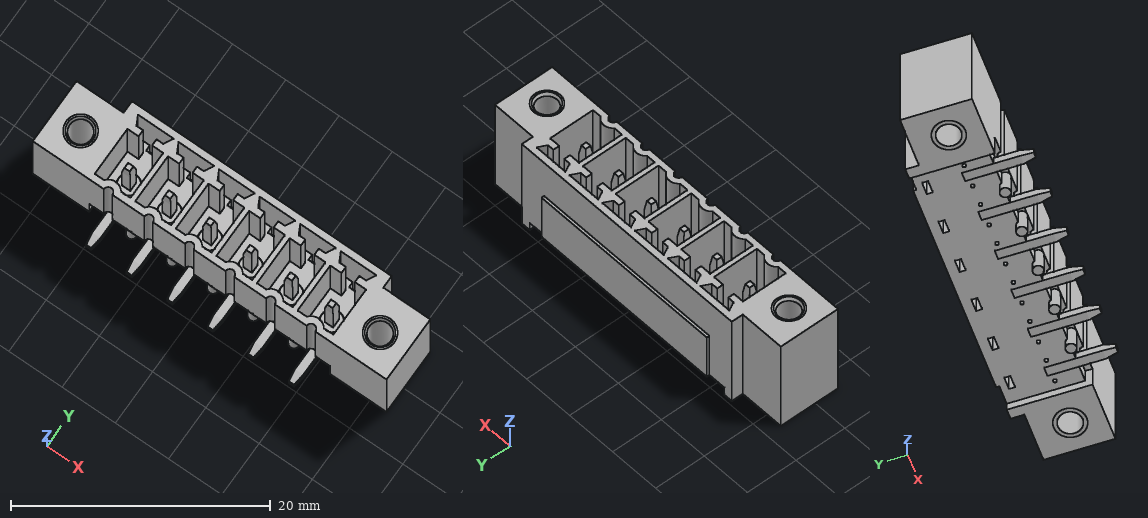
import cadquery as cq


POLE_COUNT = 6
ROW_LENGTH = 19.05
PITCH = ROW_LENGTH / (POLE_COUNT - 1)
POLE_XS = [i * PITCH - ROW_LENGTH / 2 for i in range(POLE_COUNT)]
POST_XS = [(left + right) / 2 for left, right in zip(POLE_XS, POLE_XS[1:])]

LENGTH = 33.25
HEIGHT = 9.2
FRONT_Y = -2.8
WING_REAR_Y = 3.1
BODY_REAR_Y = 4.22
BODY_LENGTH = 24.4
WALL = 0.6

RIB_LENGTH = 19.22
RIB_DEPTH = 0.25
RIB_TOP_Z = 5.4

UNDERCUT_LENGTH = 22.6
UNDERSIDE_Z = 0.83
RECESS_TOP_Z = 2.2
CAVITY_FRONT_Y = FRONT_Y + WALL

FLOOR_Z = RECESS_TOP_Z + WALL
CAVITY_WIDTH = 3.35
CAVITY_REAR_Y = 2.2
NECK_WIDTH = 1.25
NECK_REAR_Y = 2.8
DOVETAIL_WIDTH = 2.53
DOVETAIL_REAR_Y = 3.6
VENT_WIDTH = 1.1

GROOVE_RADIUS = 0.4
GROOVE_RIB_RADIUS = GROOVE_RADIUS + WALL

COLLAR_DIAMETER = 2.03
COLLAR_TOP_DIAMETER = 1.83
COLLAR_HEIGHT = 0.6

POST_DIAMETER = 0.9
FOOT_DIAMETER = 0.3
FOOT_OFFSET = 1.0

PIN_WIDTH = 0.8
PIN_TIP_WIDTH = 0.5
PIN_TAPER = 1.03
PIN_FRONT_Y = -5.42
PIN_TOP_Z = HEIGHT - 1.05

BUSHING_X = 14.05
BUSHING_DIAMETER = 2.7
BUSHING_BORE = 2.03
BUSHING_CHAMFER_WIDTH = 0.15
BUSHING_CHAMFER_DEPTH = 0.3


def block(x_size, y_min, y_max, z_min, z_max):
    """Box centred on X = 0 between the given Y and Z limits."""
    return cq.Workplane("XY").box(
        x_size, y_max - y_min, z_max - z_min, centered=(True, False, False)
    ).translate((0, y_min, z_min))


def cylinder(diameter, x, y, z_min, z_max):
    """Upright cylinder between two heights."""
    return (
        cq.Workplane("XY", origin=(x, y, z_min))
        .circle(diameter / 2)
        .extrude(z_max - z_min)
    )


def make_shell():
    """Outer shape of the housing, with the underside cleared and the lower front wall set back."""
    wings = block(LENGTH, FRONT_Y, WING_REAR_Y, 0, HEIGHT)
    middle = block(BODY_LENGTH, FRONT_Y, BODY_REAR_Y, 0, HEIGHT)
    rib = block(RIB_LENGTH, BODY_REAR_Y, BODY_REAR_Y + RIB_DEPTH, UNDERSIDE_Z, RIB_TOP_Z)
    underside = block(UNDERCUT_LENGTH, FRONT_Y, BODY_REAR_Y, 0, UNDERSIDE_Z)
    front_recess = block(UNDERCUT_LENGTH, FRONT_Y, CAVITY_FRONT_Y, 0, RECESS_TOP_Z)
    return wings.union(middle).cut(underside).cut(front_recess).union(rib)


def make_cavity(x):
    """Open-topped plug cavity with a dovetail keyway behind it and a rounded rib at the front."""
    half_width = CAVITY_WIDTH / 2
    half_neck = NECK_WIDTH / 2
    half_dovetail = DOVETAIL_WIDTH / 2
    outline = [
        (-half_width, CAVITY_FRONT_Y),
        (half_width, CAVITY_FRONT_Y),
        (half_width, CAVITY_REAR_Y),
        (half_neck, CAVITY_REAR_Y),
        (half_neck, NECK_REAR_Y),
        (half_dovetail, NECK_REAR_Y),
        (half_width, DOVETAIL_REAR_Y),
        (-half_width, DOVETAIL_REAR_Y),
        (-half_dovetail, NECK_REAR_Y),
        (-half_neck, NECK_REAR_Y),
        (-half_neck, CAVITY_REAR_Y),
        (-half_width, CAVITY_REAR_Y),
    ]
    pocket = (
        cq.Workplane("XY", origin=(x, 0, FLOOR_Z))
        .polyline(outline)
        .close()
        .extrude(HEIGHT - FLOOR_Z)
    )
    groove_rib = cylinder(2 * GROOVE_RIB_RADIUS, x, FRONT_Y, FLOOR_Z, HEIGHT)
    vent = block(VENT_WIDTH, WING_REAR_Y, DOVETAIL_REAR_Y, UNDERSIDE_Z, FLOOR_Z)
    return pocket.cut(groove_rib).union(vent.translate((x, 0, 0)))


def make_groove(x):
    """Half-round groove down the front wall."""
    return cylinder(2 * GROOVE_RADIUS, x, FRONT_Y, RECESS_TOP_Z, HEIGHT)


def make_collar(x):
    """Tapered collar around a pin."""
    return (
        cq.Workplane("XY", origin=(x, 0, FLOOR_Z))
        .circle(COLLAR_DIAMETER / 2)
        .workplane(offset=COLLAR_HEIGHT)
        .circle(COLLAR_TOP_DIAMETER / 2)
        .loft(ruled=True)
    )


def make_post(x):
    """Round post that stands flush with the front face and reaches the mounting plane."""
    return cylinder(POST_DIAMETER, x, FRONT_Y + POST_DIAMETER / 2, 0, RECESS_TOP_Z)


def make_foot(x):
    """Ball whose lower half stands out below the underside."""
    return cq.Workplane("XY", origin=(x, 0, UNDERSIDE_Z)).sphere(FOOT_DIAMETER / 2)


def make_taper(plane, length):
    """Square pin end that narrows along the plane's normal."""
    return (
        cq.Workplane(plane)
        .rect(PIN_WIDTH, PIN_WIDTH)
        .workplane(offset=length)
        .rect(PIN_TIP_WIDTH, PIN_TIP_WIDTH)
        .loft(ruled=True)
    )


def make_pin(x):
    """Contact pin: an upright leg in the cavity and a tail out of the front, both with tapered ends."""
    half_width = PIN_WIDTH / 2
    axis_z = UNDERSIDE_Z + half_width
    taper_y = PIN_FRONT_Y + PIN_TAPER
    taper_z = PIN_TOP_Z - PIN_TAPER
    leg = block(PIN_WIDTH, -half_width, half_width, UNDERSIDE_Z, taper_z)
    tail = block(PIN_WIDTH, taper_y, half_width, UNDERSIDE_Z, UNDERSIDE_Z + PIN_WIDTH)
    leg_tip = make_taper(cq.Plane(origin=(0, 0, taper_z), normal=(0, 0, 1)), PIN_TAPER)
    tail_tip = make_taper(cq.Plane(origin=(0, taper_y, axis_z), normal=(0, -1, 0)), PIN_TAPER)
    return leg.union(tail).union(leg_tip).union(tail_tip).translate((x, 0, 0))


def make_bushing(x):
    """Full-height screw bushing with a conical bore mouth."""
    outer_radius = BUSHING_DIAMETER / 2
    bore_radius = BUSHING_BORE / 2
    half_section = [
        (bore_radius, 0),
        (outer_radius, 0),
        (outer_radius, HEIGHT),
        (bore_radius + BUSHING_CHAMFER_WIDTH, HEIGHT),
        (bore_radius, HEIGHT - BUSHING_CHAMFER_DEPTH),
    ]
    return (
        cq.Workplane("XZ")
        .polyline(half_section)
        .close()
        .revolve(360, (0, 0), (0, 1))
        .translate((x, 0, 0))
    )


def make_housing(pins):
    """Housing with its cavities, grooves, collars, posts and feet, bored for the bushings and pins."""
    body = make_shell()
    for x in POLE_XS:
        body = body.cut(make_cavity(x)).cut(make_groove(x)).union(make_collar(x))
        for foot_x in (x - FOOT_OFFSET, x + FOOT_OFFSET):
            body = body.union(make_foot(foot_x))
    for x in POST_XS:
        body = body.union(make_post(x))
    for x in (-BUSHING_X, BUSHING_X):
        body = body.cut(cylinder(BUSHING_DIAMETER, x, 0, 0, HEIGHT))
    for pin in pins:
        body = body.cut(pin)
    return body


pins = [make_pin(x) for x in POLE_XS]
bushings = [make_bushing(x) for x in (-BUSHING_X, BUSHING_X)]
housing = make_housing(pins)

result = cq.Compound.makeCompound(
    [housing.val()] + [pin.val() for pin in pins] + [bushing.val() for bushing in bushings]
)